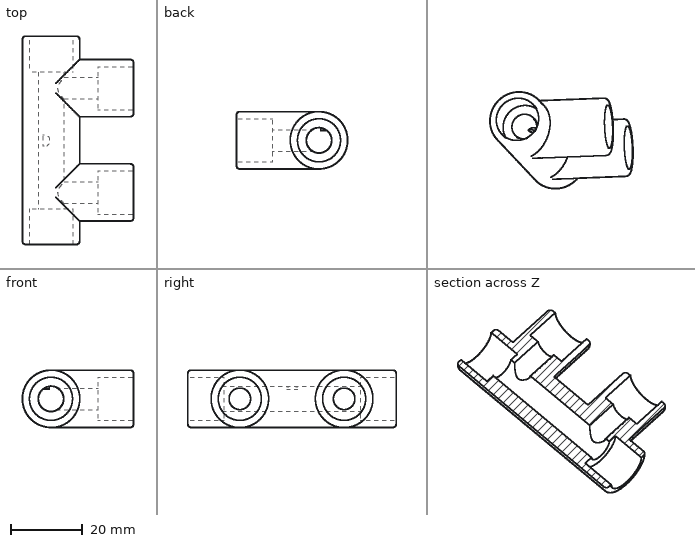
import cadquery as cq

tube_diameter = 16.0
run_length = 58.0
branch_reach = 23.0
branch_spacing = run_length / 2
rim_radius = 1.0

socket_diameter = 12.0
socket_depth = 10.0
run_bore_diameter = 7.0
branch_bore_diameter = 6.0

key_left = -2.5
key_shoulder = -1.2
key_right = -0.45
key_bottom = 2.7
key_top = 3.6
key_length = 3.0
key_slant = key_right - key_shoulder

run_start = -run_length / 2
run_end = run_length / 2
branch_positions = (-branch_spacing / 2, branch_spacing / 2)


def cylinder_y(diameter, start, end):
    """Cylinder on the run axis between two Y stations."""
    return cq.Workplane("XZ", origin=(0, start, 0)).circle(diameter / 2).extrude(start - end)


def cylinder_x(diameter, start, end, y):
    """Cylinder parallel to X between two X stations, at the given Y."""
    return cq.Workplane("YZ", origin=(start, y, 0)).circle(diameter / 2).extrude(end - start)


def make_tubes():
    """Solid run and branches with rounded end rims."""
    tubes = cylinder_y(tube_diameter, run_start, run_end).faces("<Y or >Y").edges().fillet(rim_radius)
    for y in branch_positions:
        branch = cylinder_x(tube_diameter, 0, branch_reach, y).faces(">X").edges().fillet(rim_radius)
        tubes = tubes.union(branch)
    return tubes


def cut_run_bores(body):
    """Through bore along the run with a socket at each end."""
    body = body.cut(cylinder_y(run_bore_diameter, run_start, run_end))
    body = body.cut(cylinder_y(socket_diameter, run_start, run_start + socket_depth))
    return body.cut(cylinder_y(socket_diameter, run_end - socket_depth, run_end))


def cut_branch_bores(body):
    """Socket in each branch, joined to the run bore by a narrower passage."""
    socket_floor = branch_reach - socket_depth
    for y in branch_positions:
        body = body.cut(cylinder_x(branch_bore_diameter, 0, branch_reach, y))
        body = body.cut(cylinder_x(socket_diameter, socket_floor, branch_reach, y))
    return body


def make_key():
    """Trapezoidal key whose left side and top overlap the wall of the run bore."""
    half_length = key_length / 2
    tip_half_length = half_length - key_slant
    outline = [
        (key_left, -half_length),
        (key_shoulder, -half_length),
        (key_right, -tip_half_length),
        (key_right, tip_half_length),
        (key_shoulder, half_length),
        (key_left, half_length),
    ]
    base = cq.Workplane("XY", origin=(0, 0, key_bottom)).polyline(outline).close()
    return base.extrude(key_top - key_bottom)


result = cut_branch_bores(cut_run_bores(make_tubes())).union(make_key())